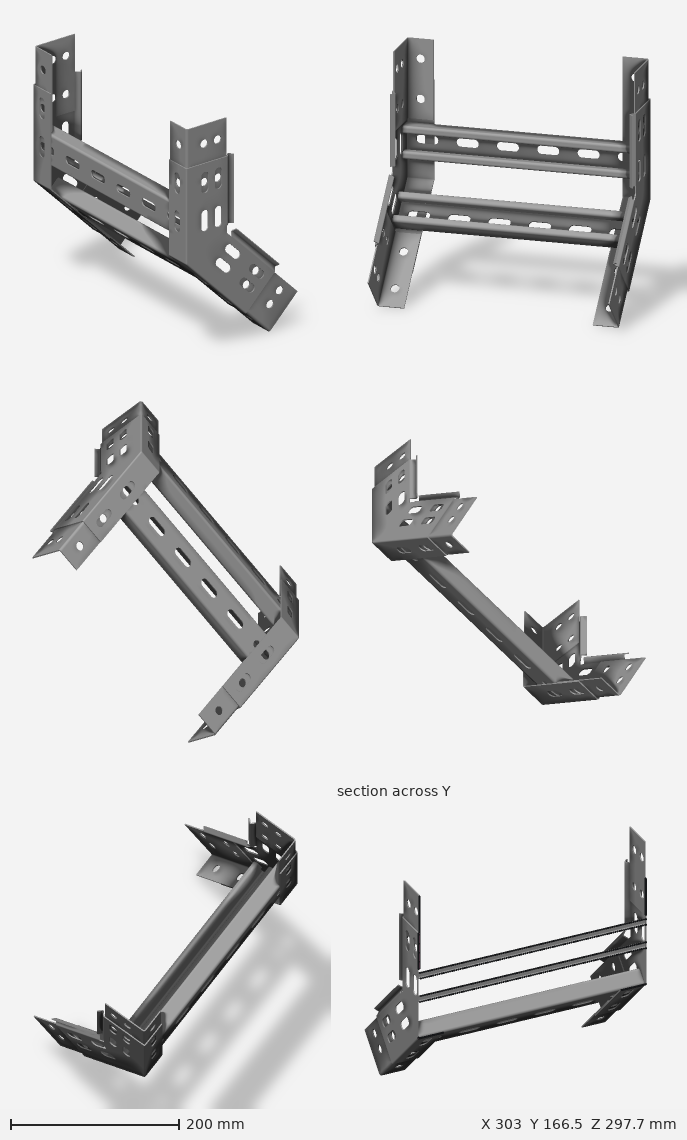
import cadquery as cq
import math



tray_width = 303.0
sheet = 1.5
bend_angle = 45.0
hole_pitch = 50.0
hole_width = 10.5
slot_length = 27.5

leg_length = 125.0
web_height = 60.5
flange_width = 34.5
rail_bend = 0.3
elbow_bend = 1.5
end_margin = hole_pitch / 2
flange_hole_inset = 18.2
web_hole_insets = (27.5, 47.5)
upper_slot_height = leg_length - end_margin
lower_slot_height = upper_slot_height - hole_pitch
slot_heights = [upper_slot_height, lower_slot_height]

lip_length = 90.3
lip_bend = 0.5
lip_root = 61.5
lip_rise = 5.0
lip_return = 4.5
lip_overlap = 6.0

splice_length = 2 * hole_pitch
splice_bend = 1.5
splice_top = leg_length + hole_pitch
splice_hole_heights = [leg_length + end_margin, leg_length - end_margin]

rung_width = 41.2
rung_depth = 21.0
rung_opening = 22.0
hook_depth = 9.7
rung_bend = 1.5
rung_slot_count = 6
rung_height = lower_slot_height

half_width = tray_width / 2
rung_length = tray_width - 2 * (sheet + rail_bend)
half_turn = math.radians(bend_angle / 2)
bend_plane_normal = (0, -math.sin(half_turn), math.cos(half_turn))


def offset_line(points, distance):
    """Shift an open polyline sideways to its left, with mitred corners."""
    directions = [(b - a).normalized() for a, b in zip(points, points[1:])]
    normals = [cq.Vector(-d.y, d.x, 0) for d in directions]
    shifted = [points[0] + normals[0] * distance]
    for point, before, after in zip(points[1:-1], normals, normals[1:]):
        mitre = before + after
        shifted.append(point + mitre * (distance / mitre.dot(after)))
    shifted.append(points[-1] + normals[-1] * distance)
    return shifted


def bent_sheet(plane, surface_points, inner_radius, length):
    """Folded sheet: a strip to the left of the surface points, extruded along the plane normal."""
    near = [cq.Vector(x, y, 0) for x, y in surface_points]
    far = offset_line(near, sheet)
    outline = near + far[::-1]
    body = cq.Workplane(plane).polyline([p.toTuple()[:2] for p in outline]).close().extrude(length)
    for i in range(1, len(near) - 1):
        before = near[i] - near[i - 1]
        after = near[i + 1] - near[i]
        turns_left = before.cross(after).z > 0
        inner, outer = (far[i], near[i]) if turns_left else (near[i], far[i])
        for corner, radius in ((inner, inner_radius), (outer, inner_radius + sheet)):
            middle = plane.toWorldCoords((corner.x, corner.y, length / 2))
            body = body.edges(cq.selectors.NearestToPointSelector(middle.toTuple())).fillet(radius)
    return body


def level_plane(height):
    return cq.Plane(origin=(0, 0, height), xDir=(1, 0, 0), normal=(0, 0, 1))


def upright_cutter(plane, places, length):
    """Round holes or upright slots, deep enough for a rail and the splice nested in it."""
    sketch = cq.Workplane(plane).pushPoints(places)
    if length > hole_width:
        return sketch.slot2D(length, hole_width, 90).extrude(2 * sheet, both=True)
    return sketch.circle(hole_width / 2).extrude(2 * sheet, both=True)


def leg_cutters(heights, length):
    """Cutters for one flange hole and two web holes at each height of the upper left leg."""
    flange_places = [(flange_hole_inset - half_width, z) for z in heights]
    web_places = [(y, z) for y in web_hole_insets for z in heights]
    flange_plane = cq.Plane(origin=(0, 0, 0), xDir=(1, 0, 0), normal=(0, -1, 0))
    web_plane = cq.Plane(origin=(-half_width, 0, 0), xDir=(0, 1, 0), normal=(1, 0, 0))
    flange_cutter = upright_cutter(flange_plane, flange_places, length)
    return flange_cutter.add(upright_cutter(web_plane, web_places, length)).combine()


def lower_leg(body):
    return body.mirror(bend_plane_normal)


def other_side(body):
    return body.mirror("YZ")


def make_rail_lip():
    """Web edge folded inward to a ridge and back out again."""
    web_face = -half_width
    ridge = lip_root + lip_rise
    points = [
        (web_face + lip_rise - lip_return, ridge + lip_return),
        (web_face + lip_rise, ridge),
        (web_face, lip_root),
        (web_face, lip_root - lip_overlap),
    ]
    return bent_sheet(level_plane(leg_length - lip_length), points, lip_bend, lip_length)


def elbow_block(inset, elbow_radius, fold_radius):
    """Solid elbow set in from the rail's outer faces, rounded at the elbow and along its fold."""
    fold_x = inset - half_width
    elbow_z = inset * math.tan(half_turn)
    outline = [
        (inset, elbow_z),
        (inset, leg_length),
        (web_height, leg_length),
        (web_height, web_height * math.tan(half_turn)),
    ]
    leg = (
        cq.Workplane("YZ", origin=(fold_x, 0, 0)).polyline(outline).close().extrude(flange_width - inset)
    )
    block = leg.union(lower_leg(leg)).clean()
    elbow_edge = (fold_x + flange_width / 2, inset, elbow_z)
    block = block.edges(cq.selectors.NearestToPointSelector(elbow_edge)).fillet(elbow_radius)
    fold_edge = (fold_x, inset, leg_length / 2)
    return block.edges(cq.selectors.NearestToPointSelector(fold_edge)).fillet(fold_radius)


def make_rail():
    """Left rail: an angle-shaped elbow with a lip and slots on both legs."""
    rail = elbow_block(0, elbow_bend + sheet, rail_bend + sheet)
    rail = rail.cut(elbow_block(sheet, elbow_bend, rail_bend))
    lip = make_rail_lip()
    rail = rail.union(lip).union(lower_leg(lip))
    slots = leg_cutters(slot_heights, slot_length)
    return rail.cut(slots).cut(lower_leg(slots))


def make_splice():
    """Upper left splice angle, nested inside the rail and standing out past its end."""
    web_face = sheet - half_width
    points = [
        (web_face, web_height),
        (web_face, sheet),
        (flange_width - half_width, sheet),
    ]
    splice = bent_sheet(level_plane(splice_top - splice_length), points, splice_bend, splice_length)
    return splice.cut(leg_cutters(splice_hole_heights, hole_width))


def make_rung():
    """Upper rung: a slotted channel, open to the back, with lips hooked inward."""
    front = sheet
    back = front + rung_depth
    top = rung_height + rung_width / 2
    bottom = rung_height - rung_width / 2
    hook_top = rung_height + rung_opening / 2
    hook_bottom = rung_height - rung_opening / 2
    points = [
        (back - hook_depth, hook_top),
        (back, hook_top),
        (back, top),
        (front, top),
        (front, bottom),
        (back, bottom),
        (back, hook_bottom),
        (back - hook_depth, hook_bottom),
    ]
    plane = cq.Plane(origin=(-rung_length / 2, 0, 0), xDir=(0, 1, 0), normal=(1, 0, 0))
    rung = bent_sheet(plane, points, rung_bend, rung_length)
    slots = (
        cq.Workplane("XZ", origin=(0, front, rung_height))
        .rarray(hole_pitch, 3, rung_slot_count, 1)
        .slot2D(slot_length, hole_width)
        .extrude(2 * sheet, both=True)
    )
    return rung.cut(slots)


left_rail = make_rail()
rails = [left_rail, other_side(left_rail)]

upper_rung = make_rung()
rungs = [upper_rung, lower_leg(upper_rung)]

splice = make_splice()
splices = []
for side_splice in (splice, other_side(splice)):
    splices.append(side_splice)
    splices.append(lower_leg(side_splice))

result = cq.Compound.makeCompound([body.val() for body in rails + rungs + splices])